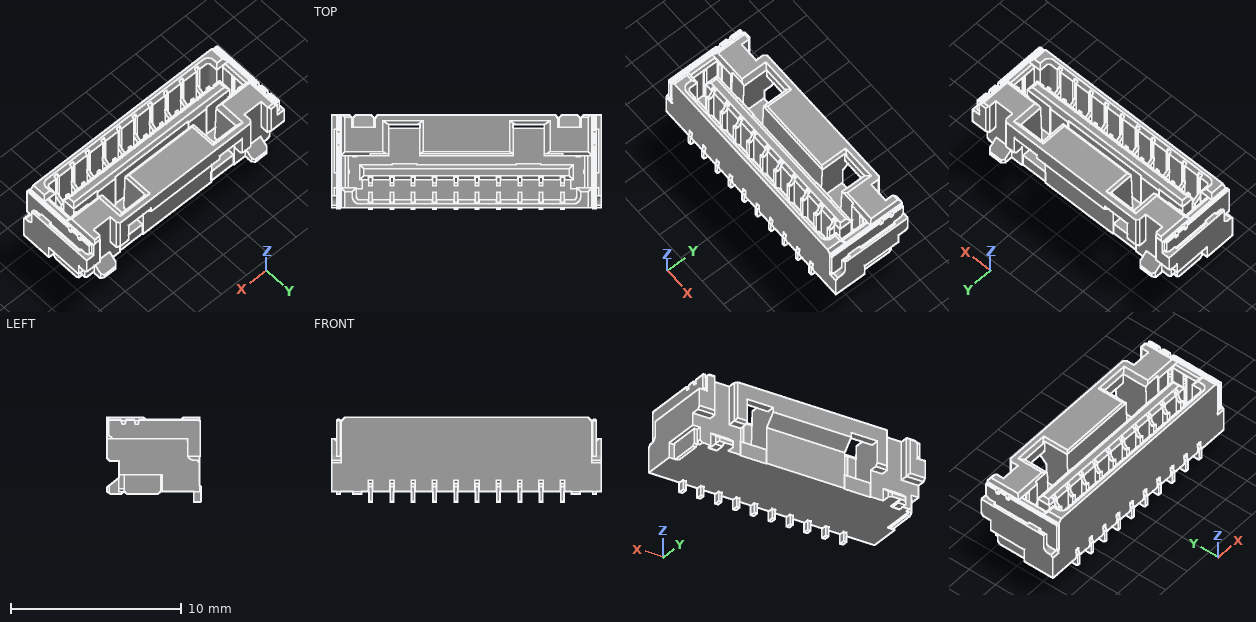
import cadquery as cq


length = 15.85
depth = 5.45
height = 4.37
half_length = length / 2
ear_width = 0.55
half_body = half_length - ear_width
top_chamfer = 0.22
over = 0.16

ear_top = 3.12
ear_front_notch = 0.7
ear_notch_floor = 1.85
notch_round = 0.33
ear_lip_drop = 0.16
ear_bevel = 0.16
ear_bevel_spans = ((ear_front_notch, 1.19), (2.05, 4.61))
foot_recess_front, foot_recess_height = 2.19, 0.98
foot_edge_chamfer = 0.16

rear_foot = 4.74
outer_overhang = 1.79
outer_overhang_chamfer = 0.17
slope_start = 2.41
rear_edge_chamfer = 0.15
tab_notch_inner, tab_notch_outer = 5.37, 6.72
notch_flare_x, notch_flare_y = 0.15, 0.19

floor = 0.95
pit_floor = 0.8
front_wall = 0.46
front_half = 6.47
front_corner_radius = 0.19
mouth_chamfer = 0.24
cavity_half = 6.95
cavity_front, cavity_back = 1.19, 3.06
side_wall_top = height - mouth_chamfer
side_wall_chamfer = 0.17
draft_half = 5.65
draft_chamfer = 0.119
pit_half, pit_back = 6.12, 1.13
rib_height = 0.06
side_rib_y, side_rib_width = 2.12, 0.19
block_rib_x, block_rib_width = 6.58, 0.24

window_inner, window_outer = 2.74, 4.56
window_back = 4.88
window_sill = 4.68
window_inner_flare, window_inner_flare_height = 0.2, 0.119
window_outer_chamfer = 0.35
bar_underside = 3.42

tongue_half = 6.26
tongue_front, tongue_back = 1.65, 2.52
tongue_top = 3.95
key_inner, key_outer, key_height = 2.93, 4.37, 0.055

pin_count = 10
pin_pitch = 1.25
pin_width = 0.2
pin_drop = 0.62
pin_front = -0.1
pin_back = 0.35
pin_tip_chamfer = 0.05
pin_shoulder, pin_top = 0.29, 0.46
pin_shoulder_back = 0.087
groove_width = 0.25
front_arm_front, front_arm_back = 0.32, 0.9
front_arm_top, front_arm_fall = 2.38, 0.48
rear_arm_back, rear_arm_crest, rear_arm_valley, rear_arm_nose = 1.9, 1.79, 1.46, 1.3
rear_arm_top, rear_arm_valley_height, rear_arm_nose_height = 3.65, 3.2, 3.3
tongue_groove_depth = 0.22
pin_slot_height, pin_slot_back_height = 0.67, 0.49

plate_inner, plate_outer = 7.42, 7.62
plate_front, plate_back = -0.05, 5.34
plate_bottom, plate_top = 2.08, 4.25
plate_edge = 0.05
plate_front_chamfer = 0.1
plate_corner_y, plate_corner_z = 0.24, 0.19
plate_notch_centers = (3.7, 4.47)
plate_notch_depth, plate_notch_top, plate_notch_bottom = 0.29, 0.32, 0.16
foot_front, foot_back = 2.28, 4.44
foot_drop = 0.15
foot_corner = 0.17

tab_inner, tab_outer = 5.44, 6.67
tab_foot_inner = 6.17
tab_root = 4.45
tab_root_top = 0.82
tab_foot_back = 5.23
tab_end_height = 0.25
tab_corner = 0.16


def box(x0, x1, y0, y1, z0, z1):
    return cq.Workplane("XY").box(x1 - x0, y1 - y0, z1 - z0, centered=False).translate((x0, y0, z0))


def prism_x(points, x0, x1):
    """Extrude a (Y, Z) outline from x0 to x1."""
    return cq.Workplane("YZ").workplane(offset=x0).polyline(points).close().extrude(x1 - x0)


def prism_y(points, y0, y1):
    """Extrude an (X, Z) outline from y0 to y1."""
    return cq.Workplane("XZ", origin=(0, y0, 0)).polyline(points).close().extrude(y0 - y1)


def both_ends(solid):
    return solid.union(solid.mirror("YZ"))


def make_shell():
    upper = box(-half_body, half_body, 0, depth, 0, height)
    upper = upper.edges("|Y and >Z").chamfer(top_chamfer)
    upper = upper.edges(">Y and >Z").chamfer(rear_edge_chamfer)
    sharp_middle = box(-tab_notch_outer, tab_notch_outer, 0, depth, 0, height)
    ears = box(-half_length, half_length, 0, depth, 0, ear_top)
    return upper.union(sharp_middle).union(ears)


def ear_notch():
    """Front notch of one ear: rounded inner corner and a lip that falls to the front."""
    return (
        cq.Workplane("YZ").workplane(offset=half_body)
        .moveTo(-over, height)
        .lineTo(-over, ear_notch_floor - ear_lip_drop - over)
        .lineTo(ear_lip_drop, ear_notch_floor)
        .lineTo(ear_front_notch - notch_round, ear_notch_floor)
        .radiusArc((ear_front_notch, ear_notch_floor + notch_round), -notch_round)
        .lineTo(ear_front_notch, height)
        .close()
        .extrude(ear_width + over)
    )


def ear_cuts():
    recess = box(plate_inner, half_length, foot_recess_front, rear_foot, 0, foot_recess_height)
    foot_edge = prism_y(
        [
            (plate_inner, 0),
            (plate_inner - foot_edge_chamfer, 0),
            (plate_inner, foot_edge_chamfer),
        ],
        foot_back, rear_foot,
    )
    cuts = ear_notch().union(recess).union(foot_edge)
    bevel_outline = [
        (plate_outer, ear_top),
        (plate_outer + ear_bevel, ear_top),
        (plate_outer, ear_top - ear_bevel),
    ]
    for front, back in ear_bevel_spans:
        cuts = cuts.union(prism_y(bevel_outline, front, back))
    return both_ends(cuts)


def rear_undercuts():
    middle = prism_x(
        [
            (rear_foot, 0),
            (rear_foot, slope_start),
            (depth, slope_start + depth - rear_foot),
            (depth, 0),
        ],
        -window_outer, window_outer,
    )
    outer = prism_x(
        [
            (rear_foot, 0),
            (rear_foot, outer_overhang),
            (depth - outer_overhang_chamfer, outer_overhang),
            (depth, outer_overhang + outer_overhang_chamfer),
            (depth, 0),
        ],
        window_outer, half_length,
    )
    tab_notch = (
        cq.Workplane("XY")
        .polyline([
            (tab_notch_inner, rear_foot),
            (tab_notch_inner, depth - notch_flare_y),
            (tab_notch_inner - notch_flare_x, depth),
            (tab_notch_outer + notch_flare_x, depth),
            (tab_notch_outer, depth - notch_flare_y),
            (tab_notch_outer, rear_foot),
        ])
        .close()
        .extrude(height)
    )
    return middle.union(both_ends(outer.union(tab_notch)))


def front_cavity():
    """Rounded pocket behind the front wall, with a flared mouth."""
    span_y = cavity_back - front_wall - mouth_chamfer
    center_y = front_wall + span_y / 2

    def outline(z):
        sketch = cq.Sketch().rect(2 * front_half, span_y).vertices().fillet(front_corner_radius)
        return cq.Workplane("XY", origin=(0, center_y, z)).placeSketch(sketch)

    pocket = outline(floor).extrude(height - floor)
    mouth = outline(side_wall_top).extrude(mouth_chamfer, taper=-45)
    return pocket.union(mouth)


def main_cavity():
    well = box(-cavity_half, cavity_half, cavity_front, cavity_back, floor, height)
    relief = prism_x(
        [
            (cavity_front, side_wall_top),
            (cavity_front - mouth_chamfer, height),
            (cavity_back + mouth_chamfer, height),
            (cavity_back, side_wall_top),
        ],
        draft_half, half_body,
    )
    wall_chamfer = prism_y(
        [
            (cavity_half, side_wall_top - side_wall_chamfer),
            (cavity_half + side_wall_chamfer, side_wall_top),
            (cavity_half, side_wall_top),
        ],
        cavity_front, cavity_back,
    )
    drafted_front = prism_x(
        [
            (cavity_front, floor),
            (cavity_back, floor),
            (cavity_back + mouth_chamfer - draft_chamfer, height - draft_chamfer),
            (cavity_back + mouth_chamfer, height),
            (cavity_front, height),
        ],
        -draft_half, draft_half,
    )
    pit = box(-pit_half, pit_half, pit_back, tongue_back, pit_floor, floor)
    front_pit = box(-front_half, front_half, front_wall, pit_back, pit_floor, floor)
    front_pit = front_pit.edges("|Z and <Y").fillet(front_corner_radius)
    return well.union(both_ends(relief.union(wall_chamfer))).union(drafted_front).union(pit).union(front_pit)


def latch_windows():
    well = box(window_inner, window_outer, cavity_front, window_back, floor, height)
    rear = box(window_inner, window_outer, tongue_back, depth, floor, bar_underside)
    sill = box(window_inner, window_outer, window_sill, depth, 0, floor)

    def outline(work, inner, outer, back):
        return work.polyline([(inner, tongue_back), (outer, tongue_back), (outer, back), (inner, back)]).close()

    inner_top = window_inner - window_inner_flare
    inner_bottom = inner_top + window_inner_flare * top_chamfer / window_inner_flare_height
    lower = outline(
        cq.Workplane("XY", origin=(0, 0, height - top_chamfer)), inner_bottom, window_outer, window_back
    )
    flare = outline(
        lower.workplane(offset=top_chamfer),
        inner_top, window_outer + window_outer_chamfer, window_back + top_chamfer,
    ).loft(ruled=True)
    return both_ends(well.union(rear).union(sill).union(flare))


def wall_ribs():
    side = box(
        cavity_half - rib_height, cavity_half + over,
        side_rib_y - side_rib_width / 2, side_rib_y + side_rib_width / 2,
        floor - over, side_wall_top - side_wall_chamfer,
    )
    block = box(
        block_rib_x - block_rib_width / 2, block_rib_x + block_rib_width / 2,
        cavity_back - rib_height, cavity_back + over, floor - over, side_wall_top,
    )
    return both_ends(side.union(block))


def make_tongue():
    tongue = box(-tongue_half, tongue_half, tongue_front, tongue_back, pit_floor - over, tongue_top)
    tongue = tongue.faces(">Z").chamfer(top_chamfer)
    key_back = tongue_back + key_height
    key_root = tongue_back - top_chamfer
    key = prism_x(
        [
            (key_root, floor - over),
            (key_back, floor - over),
            (key_back, tongue_top - top_chamfer - key_height),
            (key_root, tongue_top),
        ],
        key_inner, key_outer,
    )
    return tongue.union(both_ends(key))


def repeat_along_row(solid):
    row = cq.Workplane("XY")
    first = -pin_pitch * (pin_count - 1) / 2
    for index in range(pin_count):
        row = row.add(solid.translate((first + index * pin_pitch, 0, 0)))
    return row.combine()


def centered_prism(points, width):
    return prism_x(points, -width / 2, width / 2)


def contact_cuts():
    """Slots for the pins and grooves for the contact arms."""
    pin_slot = centered_prism(
        [
            (0, 0),
            (0, pin_slot_height),
            (pin_back / 2, pin_slot_back_height),
            (pin_back, pin_slot_back_height),
            (pin_back, 0),
        ],
        groove_width,
    )
    wall_groove = box(-groove_width / 2, groove_width / 2, front_arm_front, front_wall + over, pit_floor, height)
    tongue_groove = box(
        -groove_width / 2, groove_width / 2,
        tongue_front, tongue_front + tongue_groove_depth, pit_floor, tongue_top,
    )
    return repeat_along_row(pin_slot.union(wall_groove).union(tongue_groove))


def contacts():
    """Rows of pin tails, front arms and rear arms, each rooted in the housing."""
    tail = centered_prism(
        [
            (pin_back, -pin_drop),
            (pin_front + pin_tip_chamfer, -pin_drop),
            (pin_front, pin_tip_chamfer - pin_drop),
            (pin_front, pin_shoulder),
            (pin_shoulder_back, pin_top),
            (pin_back + over, pin_top),
            (pin_back + over, 0),
            (pin_back, 0),
        ],
        pin_width,
    )
    root = pit_floor - over
    front_arm = centered_prism(
        [
            (front_arm_front, root),
            (front_arm_front, front_arm_top),
            (front_arm_back, front_arm_top - front_arm_fall),
            (front_arm_back, root),
        ],
        pin_width,
    )
    rear_arm = centered_prism(
        [
            (rear_arm_back, root),
            (rear_arm_back, rear_arm_top),
            (rear_arm_crest, rear_arm_top),
            (rear_arm_valley, rear_arm_valley_height),
            (rear_arm_nose, rear_arm_nose_height),
            (rear_arm_nose, root),
        ],
        pin_width,
    )
    return repeat_along_row(tail), repeat_along_row(front_arm), repeat_along_row(rear_arm)


def side_plate():
    plate = prism_x(
        [
            (plate_front, plate_bottom),
            (plate_front, plate_top - plate_front_chamfer),
            (plate_front + plate_front_chamfer, plate_top),
            (plate_back, plate_top),
            (plate_back, ear_top + plate_corner_z),
            (plate_back - plate_corner_y, ear_top),
            (ear_front_notch + over, ear_top),
            (ear_front_notch + over, plate_bottom),
        ],
        plate_inner, plate_outer,
    )
    plate = plate.edges("|Y and >Z").chamfer(plate_edge)
    for center in plate_notch_centers:
        plate = plate.cut(prism_x(
            [
                (center - plate_notch_top / 2, plate_top),
                (center - plate_notch_bottom / 2, plate_top - plate_notch_depth),
                (center + plate_notch_bottom / 2, plate_top - plate_notch_depth),
                (center + plate_notch_top / 2, plate_top),
            ],
            plate_inner, plate_outer,
        ))
    foot = prism_x(
        [
            (foot_front, foot_recess_height),
            (foot_front, 0),
            (foot_front + foot_corner, -foot_drop),
            (foot_back - foot_corner, -foot_drop),
            (foot_back, 0),
            (foot_back, foot_recess_height),
        ],
        plate_inner, plate_outer,
    )
    return both_ends(plate.union(foot))


def solder_tab():
    tab = prism_x(
        [
            (tab_root, 0),
            (tab_root, tab_root_top),
            (rear_foot, tab_root_top),
            (depth, tab_end_height),
            (depth, 0),
        ],
        tab_inner, tab_outer,
    )
    foot = prism_x(
        [
            (tab_root, 0),
            (tab_root + foot_drop, -foot_drop),
            (tab_foot_back, -foot_drop),
            (depth, 0),
        ],
        tab_foot_inner, tab_outer,
    )
    plan = box(tab_inner, tab_outer, tab_root, depth, -foot_drop, tab_root_top)
    plan = plan.edges("|Z and >Y").chamfer(tab_corner)
    return both_ends(tab.union(foot).intersect(plan))


housing = make_shell().cut(ear_cuts()).cut(rear_undercuts())
housing = housing.cut(front_cavity()).cut(main_cavity()).cut(latch_windows())
housing = housing.union(wall_ribs()).union(make_tongue()).cut(contact_cuts())

result = housing.union(side_plate()).union(solder_tab())
for contact_row in contacts():
    result = result.union(contact_row)